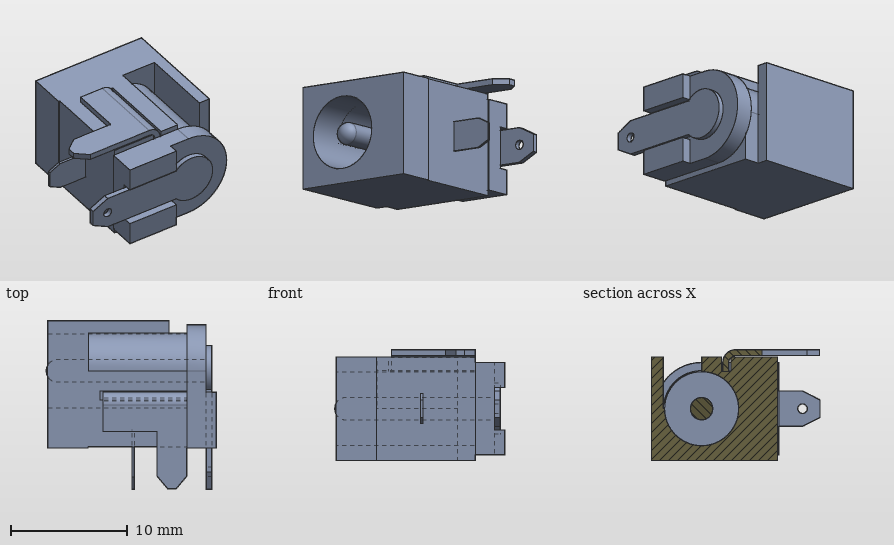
import cadquery as cq
import math


body_length = 11.95
body_height = 8.9
body_top = body_height / 2
body_back_y = 4.31
body_front_y = -6.63
lip_length = 3.48
side_relief = 0.12
bore_radius = 3.17
tube_radius = 3.27
window_start_x = 3.52
back_wall_end_x = 10.43

flange_radius = 3.97
flange_end_x = 13.6
post_end_x = 14.48
post_top_y = -1.83
post_gap = 3.62

pin_radius = 0.96
nose_radius = 0.98
pin_overhang = 0.13
tab_thickness = 0.48
tab_head_radius = 2.19
tab_half_width = 1.52
tab_hole_diameter = 0.8

terminal_end_y = -10.17
terminal_end_half_width = 0.76
tab_shoulder_y = -8.66
tab_hole_y = tab_shoulder_y

side_start_x = 7.23
side_thickness = 0.22
side_half_width = 1.29
side_embed_depth = 1.46
taper_slope = (tab_shoulder_y - terminal_end_y) / (tab_half_width - terminal_end_half_width)
side_shoulder_y = terminal_end_y + (side_half_width - terminal_end_half_width) * taper_slope
side_start_y = body_front_y + side_relief + side_embed_depth

plate_thickness = 0.53
plate_rise = 0.63
plate_start_x = 4.75
plate_bend_y = -1.81
plate_bend_radius = 1.12
plate_edge_y = -5.19
plate_top = body_top + plate_rise
prong_start_x = 9.38
prong_center_x = (prong_start_x + body_length) / 2
prong_shoulder_y = -9.03
prong_end_y = -10.12
prong_end_half_width = 0.37
slot_start_x = 4.5
slot_back_y = -1.71
slot_front_y = -2.51
slot_floor = 3.21


def block(x_range, y_range, z_range):
    """Box between the given limits."""
    size = [high - low for low, high in (x_range, y_range, z_range)]
    corner = (x_range[0], y_range[0], z_range[0])
    return cq.Workplane("XY").box(*size, centered=False).translate(corner)


def rod(radius, start_x, end_x):
    """Cylinder on the plug axis."""
    return cq.Workplane("YZ", origin=(start_x, 0, 0)).circle(radius).extrude(end_x - start_x)


def pointed_strip(start_x, thickness, start_y, shoulder_y, half_width):
    """Flat strip normal to X that runs toward -Y and tapers to the terminal end."""
    return (
        cq.Workplane("YZ", origin=(start_x, 0, 0))
        .moveTo(start_y, half_width)
        .lineTo(shoulder_y, half_width)
        .lineTo(terminal_end_y, terminal_end_half_width)
        .lineTo(terminal_end_y, -terminal_end_half_width)
        .lineTo(shoulder_y, -half_width)
        .lineTo(start_y, -half_width)
        .close()
        .extrude(thickness)
    )


def make_housing(side_terminal, top_terminal):
    full_height = (-body_top, body_top)
    body = block((0, body_length), (body_front_y, body_back_y), full_height)

    body = body.cut(
        block((lip_length, body_length), (body_front_y, body_front_y + side_relief), full_height)
    )

    window = block((window_start_x, body_length), (0, tube_radius), (0, body_top))
    body = body.cut(window.cut(rod(tube_radius, window_start_x, body_length)))
    body = body.cut(block((back_wall_end_x, body_length), (tube_radius, body_back_y), full_height))

    flange_height = (-flange_radius, flange_radius)
    flange = rod(flange_radius, body_length, flange_end_x)
    flange = flange.union(block((body_length, flange_end_x), (body_front_y, 0), flange_height))
    posts = block((flange_end_x, post_end_x), (body_front_y, post_top_y), flange_height)
    posts = posts.cut(
        block((flange_end_x, post_end_x), (body_front_y, post_top_y), (-post_gap / 2, post_gap / 2))
    )
    body = body.union(flange).union(posts)

    body = body.cut(rod(bore_radius, 0, body_length))
    body = body.cut(rod(pin_radius, body_length, flange_end_x))
    body = body.cut(
        block((slot_start_x, body_length), (slot_front_y, slot_back_y), (slot_floor, body_top))
    )
    return body.cut(side_terminal).cut(top_terminal)


def make_center_pin():
    """Round-nosed pin joined to the solder tab behind the flange."""
    nose_center_x = nose_radius - pin_overhang
    nose = cq.Workplane("XY").sphere(nose_radius).translate((nose_center_x, 0, 0))
    nose = nose.intersect(rod(pin_radius, -pin_overhang, nose_center_x))
    pin = rod(pin_radius, nose_center_x, flange_end_x).union(nose)
    tab = pointed_strip(flange_end_x, tab_thickness, 0, tab_shoulder_y, tab_half_width)
    tab = tab.union(rod(tab_head_radius, flange_end_x, flange_end_x + tab_thickness))
    hole = rod(tab_hole_diameter / 2, flange_end_x, flange_end_x + tab_thickness)
    return pin.union(tab.cut(hole.translate((0, tab_hole_y, 0))))


def make_side_terminal():
    return pointed_strip(side_start_x, side_thickness, side_start_y, side_shoulder_y, side_half_width)


def make_top_terminal():
    """Plate bent down into the slot at one edge, with a pointed prong at the other."""
    inner_radius = plate_bend_radius - plate_thickness
    bend_center_y = plate_bend_y - plate_bend_radius
    bend_center_z = plate_top - plate_bend_radius

    def bend_middle(radius):
        offset = radius * math.sqrt(0.5)
        return (bend_center_y + offset, bend_center_z + offset)

    bent_profile = (
        cq.Workplane("YZ", origin=(plate_start_x, 0, 0))
        .moveTo(prong_end_y, plate_top)
        .lineTo(bend_center_y, plate_top)
        .threePointArc(bend_middle(plate_bend_radius), (plate_bend_y, bend_center_z))
        .lineTo(plate_bend_y, slot_floor)
        .lineTo(plate_bend_y - plate_thickness, slot_floor)
        .lineTo(plate_bend_y - plate_thickness, bend_center_z)
        .threePointArc(bend_middle(inner_radius), (bend_center_y, plate_top - plate_thickness))
        .lineTo(prong_end_y, plate_top - plate_thickness)
        .close()
        .extrude(body_length - plate_start_x)
    )
    outline = (
        cq.Workplane("XY", origin=(0, 0, slot_floor))
        .moveTo(plate_start_x, plate_bend_y)
        .lineTo(body_length, plate_bend_y)
        .lineTo(body_length, prong_shoulder_y)
        .lineTo(prong_center_x + prong_end_half_width, prong_end_y)
        .lineTo(prong_center_x - prong_end_half_width, prong_end_y)
        .lineTo(prong_start_x, prong_shoulder_y)
        .lineTo(prong_start_x, plate_edge_y)
        .lineTo(plate_start_x, plate_edge_y)
        .close()
        .extrude(plate_top - slot_floor)
    )
    return bent_profile.intersect(outline)


center_pin = make_center_pin()
side_terminal = make_side_terminal()
top_terminal = make_top_terminal()
housing = make_housing(side_terminal, top_terminal)

bodies = [housing, center_pin, side_terminal, top_terminal]
result = cq.Compound.makeCompound([body.solids().val() for body in bodies])